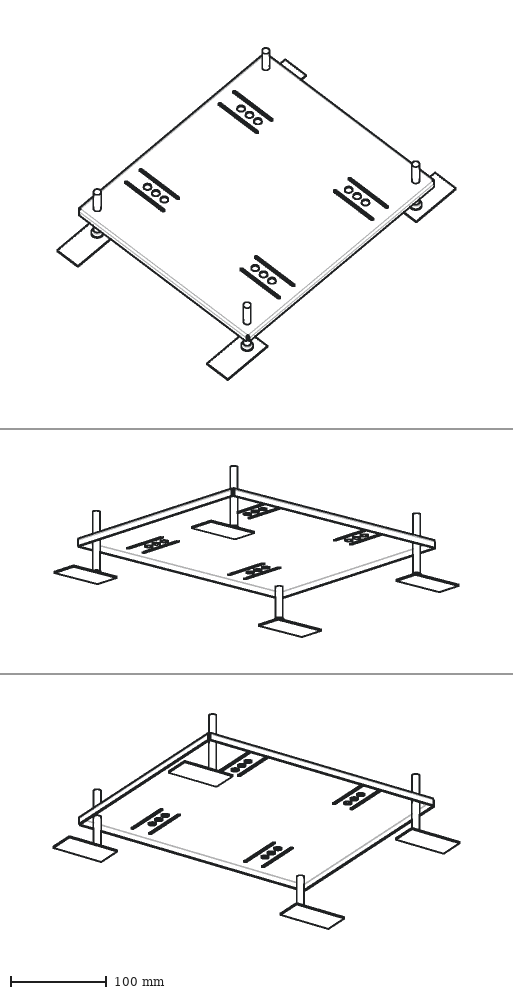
import cadquery as cq

overall_x = 246.0
overall_y = 346.0
overall_z = 72.5

foot_x = 30.0
foot_y = 60.2
foot_thickness = 1.7

rod_diameter = 8.0
rod_x = (overall_x - foot_x) / 2
rod_y = overall_y / 2 - foot_y + foot_x / 2
flare_base_diameter = 12.8
flare_rim_height = 1.7
shoulder_diameter = 9.7
shoulder_height = 5.2
flare_height = 6.2

tray_y = 285.0
tray_bottom_z = 35.3
tray_height = 9.0
sheet_thickness = 2.0
bend_radius = 2.5
corner_notch = 2.6

slot_length = 56.5
slot_width = 3.0
slot_x = 83.0
slot_offset_y = 11.0
hole_diameter = 8.3
hole_pitch = 12.0
hole_x = 77.5
hole_count = 3
group_y = 71.0

quadrants = [(side_x, side_y) for side_x in (-1, 1) for side_y in (-1, 1)]
rod_places = [(side_x * rod_x, side_y * rod_y) for side_x, side_y in quadrants]
tray_top_z = tray_bottom_z + tray_height


def make_tray_blank():
    """Folded sheet: rounded top edges, hollow below, square notches at the corners."""
    outer = (
        cq.Workplane("XY", origin=(0, 0, tray_bottom_z))
        .rect(overall_x, tray_y)
        .extrude(tray_height)
        .faces(">Z").edges().fillet(bend_radius)
    )
    cavity = (
        cq.Workplane("XY", origin=(0, 0, tray_bottom_z))
        .rect(overall_x - 2 * sheet_thickness, tray_y - 2 * sheet_thickness)
        .extrude(tray_height - sheet_thickness)
        .faces(">Z").edges().fillet(bend_radius - sheet_thickness)
    )
    notches = (
        cq.Workplane("XY", origin=(0, 0, tray_bottom_z))
        .rect(overall_x, tray_y, forConstruction=True)
        .vertices()
        .rect(2 * corner_notch, 2 * corner_notch)
        .extrude(tray_height)
    )
    return outer.cut(cavity).cut(notches)


def make_tray_cutouts():
    """Slots, round holes and rod holes that pass through the tray top."""
    top = cq.Workplane("XY", origin=(0, 0, tray_top_z))
    slot_places = []
    hole_places = []
    for side_x, side_y in quadrants:
        for offset_sign in (-1, 1):
            slot_places.append((side_x * slot_x, side_y * group_y + offset_sign * slot_offset_y))
        for index in range(hole_count):
            hole_offset = (index - (hole_count - 1) / 2) * hole_pitch
            hole_places.append((side_x * hole_x + hole_offset, side_y * group_y))
    slots = top.pushPoints(slot_places).slot2D(slot_length, slot_width).extrude(-tray_height)
    holes = top.pushPoints(hole_places).circle(hole_diameter / 2).extrude(-tray_height)
    rod_holes = top.pushPoints(rod_places).circle(rod_diameter / 2).extrude(-tray_height)
    return slots.add(holes).add(rod_holes).combine()


def make_foot(x, y):
    """Plain plate whose outer end reaches beyond the tray."""
    side_y = 1 if y > 0 else -1
    centre_y = side_y * (overall_y - foot_y) / 2
    base = cq.Workplane("XY", origin=(x, centre_y, 0))
    return base.rect(foot_x, foot_y).extrude(foot_thickness)


def make_rod(x, y):
    """Round rod standing on a foot, with a rimmed, double-bevelled flare at its base."""
    rod_radius = rod_diameter / 2
    base_radius = flare_base_diameter / 2
    shoulder_radius = shoulder_diameter / 2
    profile = [
        (0, foot_thickness),
        (base_radius, foot_thickness),
        (base_radius, foot_thickness + flare_rim_height),
        (shoulder_radius, foot_thickness + shoulder_height),
        (rod_radius, foot_thickness + flare_height),
        (rod_radius, overall_z),
        (0, overall_z),
    ]
    rod = cq.Workplane("XZ").polyline(profile).close().revolve(360, (0, 0, 0), (0, 1, 0))
    return rod.translate((x, y, 0))


tray = make_tray_blank().cut(make_tray_cutouts())
feet = [make_foot(x, y) for x, y in rod_places]
rods = [make_rod(x, y) for x, y in rod_places]

result = cq.Compound.makeCompound(
    [tray.val(), *[foot.val() for foot in feet], *[rod.val() for rod in rods]]
)